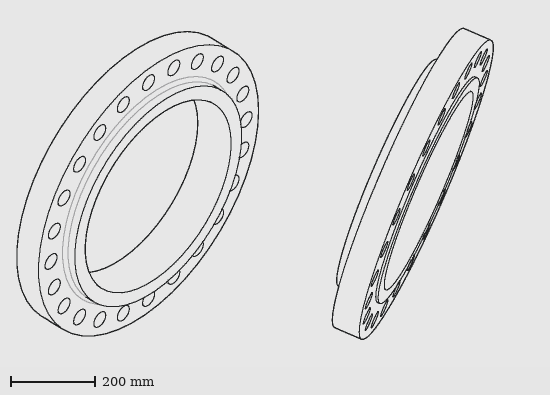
import cadquery as cq

outer_diameter = 775.0
bore_diameter = 513.0
raised_face_diameter = 584.0
hub_diameter = 587.0

raised_face_height = 6.0
plate_thickness = 70.5
total_length = 108.0
fillet_radius = 9.0

bolt_count = 24
bolt_circle_diameter = 686.0
bolt_hole_diameter = 42.0

plate_back = raised_face_height + plate_thickness
hub_radius = hub_diameter / 2


def disc(diameter, start, end):
    """Solid disc along X between two X positions."""
    return cq.Workplane("YZ", origin=(start, 0, 0)).circle(diameter / 2).extrude(end - start)


def root_fillet():
    """Ring with a concave quarter-round between plate and hub."""
    arc_offset = fillet_radius * (1 - 0.5 ** 0.5)
    return (
        cq.Workplane("XY")
        .moveTo(plate_back, 0)
        .lineTo(plate_back, hub_radius + fillet_radius)
        .threePointArc(
            (plate_back + arc_offset, hub_radius + arc_offset),
            (plate_back + fillet_radius, hub_radius),
        )
        .lineTo(plate_back + fillet_radius, 0)
        .close()
        .revolve(360, (0, 0, 0), (1, 0, 0))
    )


raised_face = disc(raised_face_diameter, 0, raised_face_height)
plate = disc(outer_diameter, raised_face_height, plate_back)
hub = disc(hub_diameter, plate_back, total_length)
body = raised_face.union(plate).union(hub).union(root_fillet())

bore = disc(bore_diameter, 0, total_length)
bolt_holes = (
    cq.Workplane("YZ")
    .polarArray(bolt_circle_diameter / 2, 0, 360, bolt_count)
    .circle(bolt_hole_diameter / 2)
    .extrude(total_length)
)

result = body.cut(bore).cut(bolt_holes)